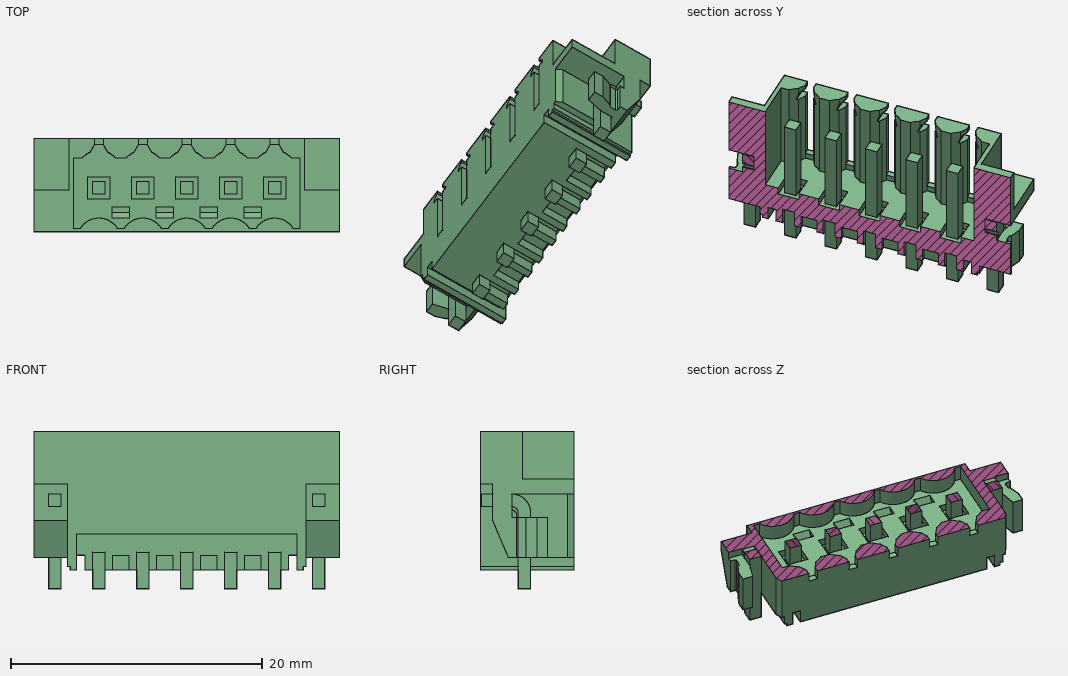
import cadquery as cq
import math


pin_count = 5
pitch = 3.5
pin_size = 1.0
pin_y = 3.5
pin_drop = 1.5
contact_top = 9.7
pin_xs = [(i - (pin_count - 1) / 2) * pitch for i in range(pin_count)]
gap_xs = [x + pitch / 2 for x in pin_xs[:-1]]
pin_front = pin_y - pin_size / 2
pin_back = pin_y + pin_size / 2
row_half = pin_xs[-1]

width = 24.35
depth = 7.45
height = 11.05
half_width = width / 2
body_half = 9.375
foot_half = 9.5
foot_step = 0.22
foot_step_height = 0.27

tower_depth = 3.35
tower_bottom = 6.87
plate_top = 7.25
plate_bottom = 6.05
flange_bottom = 1.0
flange_front = 0.97
flange_back_upper = 2.5
flange_back_lower = 2.88
flange_slope_top = 3.95
flange_slope_back = 2.22
web_half = 10.0
web_corner_half = 9.72
web_chamfer_length = 0.53

arm_top = 4.2
arm_tip_y = 5.32
hook_flat_y = 4.50
hook_step_y = 3.61
hook_step_inset = 0.32
arm_root_inset = 0.39
arm_outer_inset = 0.47
arm_fillet = 0.15
arm_tip_thickness = 0.85

anchor_x = row_half + pitch
anchor_bend_inner = 0.5
anchor_bend_outer = anchor_bend_inner + pin_size
anchor_tip_y = 0.08
anchor_bend_y = pin_back - anchor_bend_outer
anchor_bend_z = plate_bottom - anchor_bend_outer
support_peak = 0.3

cavity_half = 9.0
front_wall = 0.25
back_wall = 1.55
floor_z = 3.5
bump_radius = pitch / 2
bump_reach = 1.1
slot_width = 0.72
slot_depth = 0.51
slot_sill = 0.5
slot_floor = floor_z + slot_sill
throat_half = 0.70
throat_depth = 1.10
rib_flat_half = 0.42
rib_arc_sag = 0.04
arch_radius = 0.84
arch_drop = 1.13
arch_z = height - arch_drop
pin_pocket = 1.77
pin_pocket_depth = 0.6
key_width = 1.4
key_front = bump_reach
key_length = 0.88
key_depth = 0.6

recess_half = 8.77
recess_depth = 0.65
recess_top = 2.86
tooth_half = 8.12
notch_top = 1.17
notch_width = 1.34
pin_slot_top = 1.40


def box(x0, x1, y0, y1, z0, z1):
    """Axis-aligned block between two opposite corners."""
    return cq.Workplane("XY").box(x1 - x0, y1 - y0, z1 - z0, centered=False).translate((x0, y0, z0))


def side_profile(points, x0, x1):
    """Prism with a (Y, Z) outline running from x0 to x1."""
    return cq.Workplane("YZ").workplane(offset=x0).polyline(points).close().extrude(x1 - x0)


def anchor():
    """Square wire on the +X side: forward leg, quarter bend and downward leg."""
    turn = math.sqrt(0.5)
    outer_mid = (anchor_bend_y + anchor_bend_outer * turn, anchor_bend_z + anchor_bend_outer * turn)
    inner_mid = (anchor_bend_y + anchor_bend_inner * turn, anchor_bend_z + anchor_bend_inner * turn)
    return (
        cq.Workplane("YZ")
        .workplane(offset=anchor_x - pin_size / 2)
        .moveTo(anchor_tip_y, plate_bottom)
        .lineTo(anchor_bend_y, plate_bottom)
        .threePointArc(outer_mid, (pin_back, anchor_bend_z))
        .lineTo(pin_back, -pin_drop)
        .lineTo(pin_front, -pin_drop)
        .lineTo(pin_front, anchor_bend_z)
        .threePointArc(inner_mid, (anchor_bend_y, plate_bottom - pin_size))
        .lineTo(anchor_tip_y, plate_bottom - pin_size)
        .close()
        .extrude(pin_size)
    )


def contact(x):
    """Straight square contact pin."""
    half = pin_size / 2
    return box(x - half, x + half, pin_front, pin_back, -pin_drop, contact_top)


def latch_arm():
    """Hooked arm on the +X side that lies against the outer face of the anchor."""
    inner = anchor_x + pin_size / 2
    outer = half_width - arm_outer_inset
    hook_step = half_width - hook_step_inset
    fillet_y = hook_step_y - arm_fillet
    fillet_mid = (
        outer + arm_fillet * (1 - math.sqrt(0.5)),
        fillet_y + arm_fillet * math.sqrt(0.5),
    )
    return (
        cq.Workplane("XY")
        .workplane(offset=flange_bottom)
        .moveTo(inner, flange_back_lower)
        .lineTo(half_width - arm_root_inset, flange_back_lower)
        .lineTo(outer, pin_front)
        .lineTo(outer, fillet_y)
        .threePointArc(fillet_mid, (hook_step, hook_step_y))
        .lineTo(half_width, hook_flat_y)
        .lineTo(half_width, arm_tip_y)
        .lineTo(half_width - arm_tip_thickness, arm_tip_y)
        .lineTo(inner, pin_back)
        .close()
        .extrude(arm_top - flange_bottom)
    )


def ear():
    """Tower, plate, flange, web and latch arm of the +X side."""
    tower = box(body_half, half_width, 0, tower_depth, tower_bottom, height)
    plate_front = box(body_half, half_width, flange_front, tower_depth, plate_bottom, tower_bottom)
    plate = box(body_half, half_width, tower_depth, depth, plate_bottom, plate_top)
    flange = side_profile(
        [
            (flange_front, plate_bottom),
            (flange_front, flange_slope_top),
            (flange_slope_back, flange_bottom),
            (flange_back_lower, flange_bottom),
            (flange_back_lower, arm_top),
            (flange_back_upper, arm_top),
            (flange_back_upper, plate_bottom),
        ],
        body_half,
        half_width,
    )
    support = side_profile(
        [
            (flange_back_upper, arm_top),
            (flange_back_lower, arm_top),
            (flange_back_lower, anchor_bend_z),
            (flange_back_upper, anchor_bend_z + support_peak),
        ],
        web_half,
        anchor_x + pin_size / 2,
    )
    web = (
        cq.Workplane("XY")
        .workplane(offset=flange_bottom)
        .moveTo(body_half, flange_back_upper)
        .lineTo(web_half, flange_back_upper)
        .lineTo(web_half, depth - web_chamfer_length)
        .lineTo(web_corner_half, depth)
        .lineTo(body_half, depth)
        .close()
        .extrude(plate_bottom - flange_bottom)
    )
    solid = tower.union(plate_front).union(plate).union(flange).union(support)
    return solid.union(web).union(latch_arm())


def body_block():
    """Central block with the slightly wider, stepped feet of its end walls."""
    block = box(-body_half, body_half, 0, depth, foot_step_height, height)
    foot = box(-foot_half, foot_half, 0, depth, foot_step_height, tower_bottom)
    sole_half = foot_half - foot_step
    sole = box(-sole_half, sole_half, 0, depth, 0, foot_step_height)
    return block.union(foot).union(sole)


def back_throat(x):
    """Funnel in the thick back wall behind a contact, with concave flanks, and its slot."""
    mouth_half = pitch / 2 - rib_flat_half
    neck_y = depth - slot_depth
    throat_y = depth - throat_depth
    mouth_y = depth - back_wall
    mid_y = (throat_y + mouth_y) / 2 + rib_arc_sag
    mid_half = (throat_half + mouth_half) / 2
    funnel = (
        cq.Workplane("XY")
        .workplane(offset=floor_z)
        .moveTo(x - slot_width / 2, neck_y)
        .lineTo(x + slot_width / 2, neck_y)
        .lineTo(x + throat_half, throat_y)
        .threePointArc((x + mid_half, mid_y), (x + mouth_half, mouth_y))
        .lineTo(x - mouth_half, mouth_y)
        .threePointArc((x - mid_half, mid_y), (x - throat_half, throat_y))
        .close()
        .extrude(height - floor_z)
    )
    slot = box(x - slot_width / 2, x + slot_width / 2, neck_y, depth, slot_floor, height)
    arch = (
        cq.Workplane("XZ", origin=(x, depth, arch_z))
        .moveTo(-arch_radius, 0)
        .threePointArc((0, arch_radius), (arch_radius, 0))
        .close()
        .extrude(back_wall)
    )
    return funnel.union(slot).union(arch)


def cavity():
    """Plug cavity with round bumps left standing along the front wall."""
    space = box(-cavity_half, cavity_half, front_wall, depth - back_wall, floor_z, height)
    for x in pin_xs:
        bump = (
            cq.Workplane("XY", origin=(x, bump_reach - bump_radius, floor_z))
            .circle(bump_radius)
            .extrude(height - floor_z)
        )
        space = space.cut(bump)
    for x in pin_xs:
        space = space.union(back_throat(x))
    return space


def floor_pockets():
    """Square pockets around the contacts and ramped key pockets between them."""
    half = pin_pocket / 2
    pockets = cq.Workplane("XY")
    for x in pin_xs:
        pockets = pockets.union(
            box(x - half, x + half, pin_y - half, pin_y + half, floor_z - pin_pocket_depth, floor_z)
        )
    key_back = key_front + key_length
    ramp_end = key_front + key_length / 2
    for x in gap_xs:
        pockets = pockets.union(
            side_profile(
                [
                    (key_front, floor_z),
                    (ramp_end, floor_z - key_depth),
                    (key_back, floor_z - key_depth),
                    (key_back, floor_z),
                ],
                x - key_width / 2,
                x + key_width / 2,
            )
        )
    return pockets


def underside():
    """Front recess, end gaps, pin slots and notches that leave a row of teeth."""
    cuts = box(-recess_half, recess_half, 0, recess_depth, 0, recess_top)
    for x0, x1 in ((-recess_half, -tooth_half), (tooth_half, recess_half)):
        cuts = cuts.union(box(x0, x1, 0, depth, 0, notch_top))
    for x in pin_xs:
        half = pin_size / 2
        cuts = cuts.union(box(x - half, x + half, 0, pin_front, 0, pin_slot_top))
    for x in gap_xs:
        half = notch_width / 2
        cuts = cuts.union(box(x - half, x + half, 0, pin_front, 0, notch_top))
    return cuts


contacts = [contact(x) for x in pin_xs]
right_anchor = anchor()
anchors = [right_anchor, right_anchor.mirror("YZ")]

right_ear = ear()
housing = body_block().union(right_ear).union(right_ear.mirror("YZ"))
housing = housing.cut(cavity()).cut(floor_pockets()).cut(underside())
for pin in contacts + anchors:
    housing = housing.cut(pin)

result = cq.Compound.makeCompound(
    [housing.val()] + [pin.val() for pin in contacts] + [pin.val() for pin in anchors]
)